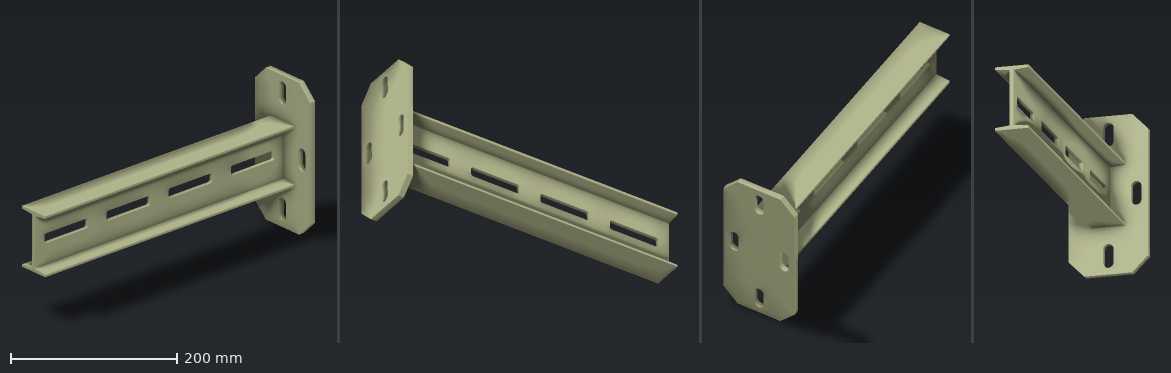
import cadquery as cq

plate_width = 100.0
plate_height = 200.0
plate_thickness = 8.0
plate_corner_cut = 20.0

bolt_slot_length = 30.0
bolt_slot_width = 13.0
side_slot_offset = 35.0
end_slot_offset = 76.5

beam_length = 400.0
beam_height = 80.0
beam_width = 42.0
web_thickness = 5.0
flange_tip_thickness = 3.4
flange_root_thickness = 5.1
flange_tip_radius = 1.2

web_slot_count = 4
web_slot_length = 70.0
web_slot_height = 13.0
web_slot_corner_radius = 3.0
web_slot_pitch = beam_length / web_slot_count


def make_wall_plate():
    """Plate with cut corners, its front face on the XZ plane and its back towards +Y."""
    plate = (
        cq.Workplane("XY")
        .box(plate_width, plate_thickness, plate_height, centered=(True, False, True))
        .edges("|Y")
        .chamfer(plate_corner_cut)
    )
    slot_centres = [
        (-side_slot_offset, 0),
        (side_slot_offset, 0),
        (0, -end_slot_offset),
        (0, end_slot_offset),
    ]
    bolt_slots = (
        cq.Workplane("XZ")
        .pushPoints(slot_centres)
        .slot2D(bolt_slot_length, bolt_slot_width, angle=90)
        .extrude(-plate_thickness)
    )
    return plate.cut(bolt_slots)


def make_beam_profile():
    """I-section whose flanges thicken from tip to web."""
    half_width = beam_width / 2
    half_height = beam_height / 2
    half_web = web_thickness / 2
    tip_z = half_height - flange_tip_thickness
    root_z = half_height - flange_root_thickness
    return (
        cq.Workplane("XZ")
        .moveTo(0, half_height)
        .lineTo(half_width, half_height)
        .lineTo(half_width, tip_z)
        .lineTo(half_web, root_z)
        .lineTo(half_web, -root_z)
        .lineTo(half_width, -tip_z)
        .lineTo(half_width, -half_height)
        .lineTo(0, -half_height)
        .mirrorY()
    )


def make_web_slot(centre_y):
    """Round-cornered cutter through the web, centred at the given Y."""
    return (
        cq.Workplane("XY")
        .box(web_thickness, web_slot_length, web_slot_height)
        .edges("|X")
        .fillet(web_slot_corner_radius)
        .translate((0, centre_y, 0))
    )


def make_beam():
    """Beam running from the plate's front face towards -Y."""
    beam = make_beam_profile().extrude(beam_length)
    beam = (
        beam.faces("<X or >X")
        .edges("|Y and (not <Z) and (not >Z)")
        .fillet(flange_tip_radius)
    )
    for index in range(web_slot_count):
        beam = beam.cut(make_web_slot(-web_slot_pitch / 2 - index * web_slot_pitch))
    return beam


wall_plate = make_wall_plate()
beam = make_beam()

result = cq.Compound.makeCompound([wall_plate.val(), beam.val()])